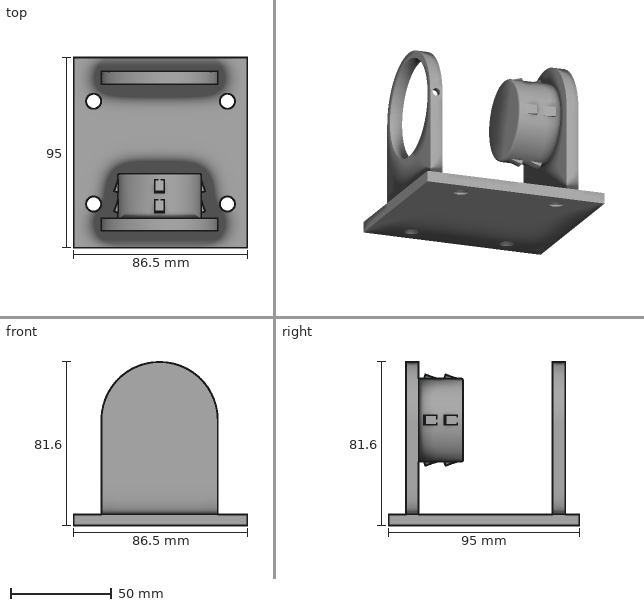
import cadquery as cq
import math

BASE_WIDTH = 86.5
BASE_LENGTH = 95.0
BASE_THICKNESS = 5.5
MOUNT_HOLE_DIAMETER = 7.4
MOUNT_HOLE_SPACING_X = 66.7
MOUNT_HOLE_SPACING_Y = 51.2

TOTAL_HEIGHT = 81.6
UPRIGHT_RADIUS = 29.1
AXIS_X = -0.5
AXIS_Z = TOTAL_HEIGHT - UPRIGHT_RADIUS

RING_THICKNESS = 6.6
RING_EDGE_MARGIN = 6.9
RING_FRONT_Y = BASE_LENGTH / 2 - RING_EDGE_MARGIN - RING_THICKNESS
RING_BORE_DIAMETER = 50.8
PIN_HOLE_DIAMETER = 4.0

HUB_PLATE_THICKNESS = 6.4
HUB_PLATE_EDGE_MARGIN = 8.55
HUB_PLATE_FRONT_Y = -BASE_LENGTH / 2 + HUB_PLATE_EDGE_MARGIN
HUB_START_Y = HUB_PLATE_FRONT_Y + HUB_PLATE_THICKNESS
HUB_DIAMETER = 41.6
HUB_RADIUS = HUB_DIAMETER / 2
HUB_LENGTH = 22.1
HUB_END_Y = HUB_START_Y + HUB_LENGTH
HUB_FILLET = 1.0

BARB_WIDTH = 4.8
BARB_HEIGHT = 2.0
BARB_SLOPE_DEGREES = 19
BARB_END_GAP = 2.9
BARB_PITCH = 10.1
BARB_ROWS = 2
BARB_ROOT = 0.95


def make_base():
    """Rectangular plate with four mounting holes."""
    plate = cq.Workplane("XY").box(
        BASE_WIDTH, BASE_LENGTH, BASE_THICKNESS, centered=(True, True, False)
    )
    return (
        plate.faces(">Z")
        .workplane()
        .rect(MOUNT_HOLE_SPACING_X, MOUNT_HOLE_SPACING_Y, forConstruction=True)
        .vertices()
        .hole(MOUNT_HOLE_DIAMETER)
    )


def along_axis(start_y):
    """Workplane centred on the shared axis at start_y; positive extrusion runs toward -Y."""
    return cq.Workplane("XZ", origin=(AXIS_X, start_y, AXIS_Z))


def make_upright(front_y, thickness):
    """Plate standing on the base, with a semicircular top."""
    foot = BASE_THICKNESS - AXIS_Z
    return (
        along_axis(front_y)
        .moveTo(-UPRIGHT_RADIUS, foot)
        .lineTo(-UPRIGHT_RADIUS, 0)
        .threePointArc((0, UPRIGHT_RADIUS), (UPRIGHT_RADIUS, 0))
        .lineTo(UPRIGHT_RADIUS, foot)
        .close()
        .extrude(-thickness)
    )


def make_ring_upright():
    """Upright with a large bore and a cross hole through its -X wall."""
    upright = make_upright(RING_FRONT_Y, RING_THICKNESS)
    bore = along_axis(RING_FRONT_Y).circle(RING_BORE_DIAMETER / 2).extrude(-RING_THICKNESS)
    pin_hole = (
        cq.Workplane("YZ", origin=(AXIS_X, RING_FRONT_Y + RING_THICKNESS / 2, AXIS_Z))
        .circle(PIN_HOLE_DIAMETER / 2)
        .extrude(-UPRIGHT_RADIUS)
    )
    return upright.cut(bore).cut(pin_hole)


def make_barb_row(ramp_start_y):
    """Four barbs around the hub; their ramps start at ramp_start_y and rise toward -Y."""
    slope = math.tan(math.radians(BARB_SLOPE_DEGREES))
    peak_y = ramp_start_y - BARB_HEIGHT / slope
    back_y = peak_y - BARB_HEIGHT * slope
    root_radius = HUB_RADIUS - BARB_ROOT
    ridge = (
        cq.Workplane("XY", origin=(AXIS_X, 0, AXIS_Z))
        .moveTo(root_radius, ramp_start_y)
        .lineTo(HUB_RADIUS, ramp_start_y)
        .lineTo(HUB_RADIUS + BARB_HEIGHT, peak_y)
        .lineTo(HUB_RADIUS, back_y)
        .lineTo(root_radius, back_y)
        .close()
        .revolve(360, (0, 0, 0), (0, 1, 0))
    )
    span = 2 * (HUB_RADIUS + BARB_HEIGHT)
    depth = ramp_start_y - back_y
    upright_bar = along_axis(ramp_start_y).rect(BARB_WIDTH, span).extrude(depth)
    level_bar = along_axis(ramp_start_y).rect(span, BARB_WIDTH).extrude(depth)
    return ridge.intersect(upright_bar.union(level_bar))


def make_hub_upright():
    """Upright carrying a round hub with rows of snap barbs."""
    hub = (
        along_axis(HUB_START_Y)
        .circle(HUB_RADIUS)
        .extrude(-HUB_LENGTH)
        .faces(">Y")
        .edges()
        .fillet(HUB_FILLET)
    )
    upright = make_upright(HUB_PLATE_FRONT_Y, HUB_PLATE_THICKNESS).union(hub)
    for row in range(BARB_ROWS):
        ramp_start_y = HUB_END_Y - BARB_END_GAP - row * BARB_PITCH
        upright = upright.union(make_barb_row(ramp_start_y))
    return upright


base = make_base()
ring_upright = make_ring_upright()
hub_upright = make_hub_upright()

result = cq.Compound.makeCompound([base.val(), ring_upright.val(), hub_upright.val()])